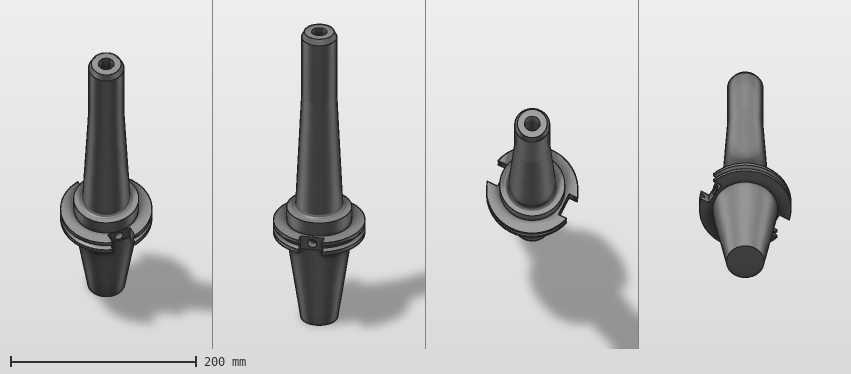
import cadquery as cq
import math

total_height = 355.5
gauge_z = 101.7
flange_bottom_z = 105.0
flange_top_z = 120.5
collar_top_z = 137.0
neck_top_z = 276.3
tip_chamfer_z = 349.2

taper_end_radius = 40.2 / 2
collar_radius = 70.0 / 2
flange_radius = 98.5 / 2
neck_base_radius = 25.5
nose_radius = 38.0 / 2
tip_radius = 16.0

neck_fillet = 5.0

groove_floor_radius = 45.0
groove_floor_width = 2.5
groove_wall_angle = 30.0

slot_width = 26.0
near_slot_floor = 35.2
far_slot_floor = 37.7
side_hole_diameter = 10.0
side_hole_depth = 10.5

bore_diameter = 16.5
bore_depth = 48.0

flange_mid_z = (flange_bottom_z + flange_top_z) / 2


def make_body():
    """Revolve the taper, flange, collar, neck and nose as one profile."""
    groove_depth = flange_radius - groove_floor_radius
    floor_half = groove_floor_width / 2
    mouth_half = floor_half + groove_depth * math.tan(math.radians(groove_wall_angle))

    neck_slope = math.atan2(neck_base_radius - nose_radius, neck_top_z - collar_top_z)
    rise = neck_fillet * (1 - math.sin(neck_slope))
    neck_radius_at_arc = neck_base_radius - rise * math.tan(neck_slope)
    arc_start = (neck_radius_at_arc + neck_fillet * math.cos(neck_slope), collar_top_z)
    arc_end = (neck_radius_at_arc, collar_top_z + rise)

    profile = (
        cq.Workplane("XZ")
        .lineTo(taper_end_radius, 0)
        .lineTo(collar_radius, gauge_z)
        .lineTo(collar_radius, flange_bottom_z)
        .lineTo(flange_radius, flange_bottom_z)
        .lineTo(flange_radius, flange_mid_z - mouth_half)
        .lineTo(groove_floor_radius, flange_mid_z - floor_half)
        .lineTo(groove_floor_radius, flange_mid_z + floor_half)
        .lineTo(flange_radius, flange_mid_z + mouth_half)
        .lineTo(flange_radius, flange_top_z)
        .lineTo(collar_radius, flange_top_z)
        .lineTo(collar_radius, collar_top_z)
        .lineTo(*arc_start)
        .tangentArcPoint(arc_end, relative=False)
        .lineTo(nose_radius, neck_top_z)
        .lineTo(nose_radius, tip_chamfer_z)
        .lineTo(tip_radius, total_height)
        .lineTo(0, total_height)
        .close()
    )
    return profile.revolve(360, (0, 0, 0), (0, 1, 0))


def make_drive_slot(side, slot_floor_distance):
    """Slot through the flange with its floor hole; side is +1 or -1 along X."""
    slot_depth = flange_radius - slot_floor_distance
    slot = cq.Workplane("XY").box(slot_depth, slot_width, flange_top_z - flange_bottom_z)
    slot = slot.translate((side * (slot_floor_distance + slot_depth / 2), 0, flange_mid_z))
    hole = (
        cq.Workplane("YZ", origin=(side * slot_floor_distance, 0, flange_mid_z))
        .circle(side_hole_diameter / 2)
        .extrude(-side * side_hole_depth)
    )
    return slot.union(hole)


def make_bore():
    """Flat-bottomed tool bore, open at the top of the nose."""
    return (
        cq.Workplane("XY", origin=(0, 0, total_height))
        .circle(bore_diameter / 2)
        .extrude(-bore_depth)
    )


result = make_body().cut(make_bore())
result = result.cut(make_drive_slot(1, near_slot_floor))
result = result.cut(make_drive_slot(-1, far_slot_floor))